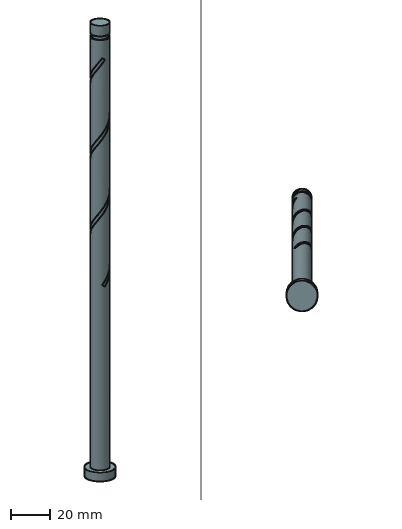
import cadquery as cq

total_length = 250.0
head_diameter = 16.0
head_height = 5.0
shaft_diameter = 10.0

ring_groove_width = 2.0
ring_groove_diameter = 8.5
ring_groove_end_distance = 6.0

helix_turns = 3
helix_length = 125.0
helix_start_height = 106.5
helix_groove_width = 1.8
helix_groove_depth = 0.2
cutter_overlap = 0.5

head_radius = head_diameter / 2
shaft_radius = shaft_diameter / 2
ring_groove_radius = ring_groove_diameter / 2
ring_groove_top = total_length - ring_groove_end_distance
ring_groove_bottom = ring_groove_top - ring_groove_width
helix_pitch = helix_length / helix_turns


def headed_pin():
    """Head, shaft and ring groove revolved about Z from a half profile on the -X side."""
    half_profile = [
        (0, 0),
        (-head_radius, 0),
        (-head_radius, head_height),
        (-shaft_radius, head_height),
        (-shaft_radius, ring_groove_bottom),
        (-ring_groove_radius, ring_groove_bottom),
        (-ring_groove_radius, ring_groove_top),
        (-shaft_radius, ring_groove_top),
        (-shaft_radius, total_length),
        (0, total_length),
    ]
    return cq.Workplane("XZ").polyline(half_profile).close().revolve(360, (0, 0), (0, 1))


def helical_groove_cutter():
    """Rectangular section swept along a helix that starts on the +X side."""
    helix = cq.Wire.makeHelix(helix_pitch, helix_length, shaft_radius)
    section_plane = cq.Plane(
        origin=helix.startPoint(), xDir=(1, 0, 0), normal=helix.tangentAt(0)
    )
    return (
        cq.Workplane(section_plane)
        .center((cutter_overlap - helix_groove_depth) / 2, 0)
        .rect(cutter_overlap + helix_groove_depth, helix_groove_width)
        .sweep(cq.Workplane(helix), isFrenet=True)
        .translate((0, 0, helix_start_height))
    )


result = headed_pin().cut(helical_groove_cutter())